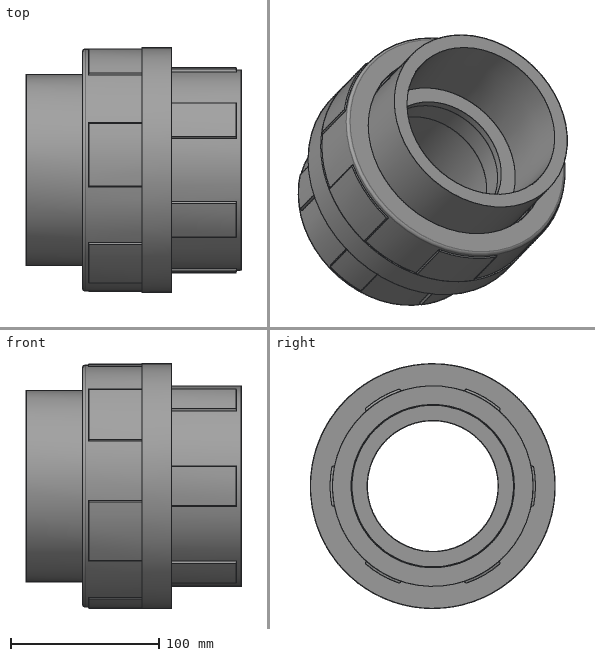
import cadquery as cq
import math

total_length = 145.0
nut_start = 38.0
nut_collar_start = 78.0
nut_end = 98.0
joint_x = 66.8

bore_diameter = 88.0
socket_mouth_diameter = 110.0
socket_floor_diameter = 109.0
socket_depth = 61.0

sleeve_diameter = 129.0

nut_diameter = 165.0
nut_base_diameter = 163.0
nut_opening_diameter = 132.0
nut_lip_thickness = 8.2
nut_lip_end = nut_start + nut_lip_thickness
nut_edge_fillet = 2.0

threaded_end_diameter = 135.0

pad_count = 6
pad_pitch = 360 / pad_count
pad_wall_run = 0.5
nut_pad_start = 41.9
nut_pad_diameter = 164.8
nut_pad_sweep = 31.2
nut_pad_first_angle = 37.5
end_pad_diameter = 138.4
end_pad_stop = 141.8
end_pad_sweep = 23.4
end_pad_first_angle = 0


def revolve_profile(points):
    """Solid of revolution about X from (x, radius) points."""
    return cq.Workplane("XY").polyline(points).close().revolve(360, (0, 0, 0), (1, 0, 0))


def make_grip_pads(x_root, x_free, base_diameter, pad_diameter, sweep, first_angle):
    """Raised pads, square at x_root, with sloping walls at x_free and along both sides."""
    base_radius = base_diameter / 2
    pad_radius = pad_diameter / 2
    top_end = x_free - math.copysign(pad_wall_run, x_free - x_root)
    disc = revolve_profile([
        (x_root, 0),
        (x_root, pad_radius),
        (top_end, pad_radius),
        (x_free, base_radius),
        (x_free, 0),
    ])

    half_sweep = math.radians(sweep / 2)
    foot = base_radius * math.cos(half_sweep)
    half_width = base_radius * math.sin(half_sweep)
    wall_slope = pad_wall_run / (pad_radius - base_radius)
    top_half_width = half_width - wall_slope * (pad_radius - foot)
    bar = (
        cq.Workplane("YZ", origin=(x_root, 0, 0))
        .polyline([
            (-foot, -half_width),
            (-pad_radius, -top_half_width),
            (-pad_radius, top_half_width),
            (-foot, half_width),
        ])
        .close()
        .extrude(x_free - x_root)
    )
    pad = disc.intersect(bar)
    return [
        pad.rotate((0, 0, 0), (-1, 0, 0), first_angle + index * pad_pitch)
        for index in range(pad_count)
    ]


def make_sleeve_end():
    """Plain pipe socket with a flange held behind the nut's lip."""
    return revolve_profile([
        (0, socket_mouth_diameter / 2),
        (0, sleeve_diameter / 2),
        (nut_lip_end, sleeve_diameter / 2),
        (nut_lip_end, threaded_end_diameter / 2),
        (joint_x, threaded_end_diameter / 2),
        (joint_x, bore_diameter / 2),
        (socket_depth, bore_diameter / 2),
        (socket_depth, socket_floor_diameter / 2),
    ])


def make_union_nut():
    """Ring with a lip around the sleeve, a plain collar and grip pads."""
    nut = revolve_profile([
        (nut_start, nut_opening_diameter / 2),
        (nut_start, nut_base_diameter / 2),
        (nut_collar_start, nut_base_diameter / 2),
        (nut_collar_start, nut_diameter / 2),
        (nut_end, nut_diameter / 2),
        (nut_end, threaded_end_diameter / 2),
        (nut_lip_end, threaded_end_diameter / 2),
        (nut_lip_end, nut_opening_diameter / 2),
    ])
    nut = nut.faces("<X").edges(cq.selectors.RadiusNthSelector(-1)).fillet(nut_edge_fillet)
    for pad in make_grip_pads(
        nut_collar_start, nut_pad_start, nut_base_diameter, nut_pad_diameter,
        nut_pad_sweep, nut_pad_first_angle,
    ):
        nut = nut.union(pad)
    return nut.solids()


def make_threaded_end():
    """Pipe socket with grip pads whose plain inner end fills the nut up to the joint."""
    socket_floor_x = total_length - socket_depth
    body = revolve_profile([
        (joint_x, bore_diameter / 2),
        (joint_x, threaded_end_diameter / 2),
        (total_length, threaded_end_diameter / 2),
        (total_length, socket_mouth_diameter / 2),
        (socket_floor_x, socket_floor_diameter / 2),
        (socket_floor_x, bore_diameter / 2),
    ])
    for pad in make_grip_pads(
        nut_end, end_pad_stop, threaded_end_diameter, end_pad_diameter,
        end_pad_sweep, end_pad_first_angle,
    ):
        body = body.union(pad)
    return body.solids()


sleeve_end = make_sleeve_end()
union_nut = make_union_nut()
threaded_end = make_threaded_end()

result = cq.Compound.makeCompound([sleeve_end.val(), union_nut.val(), threaded_end.val()])